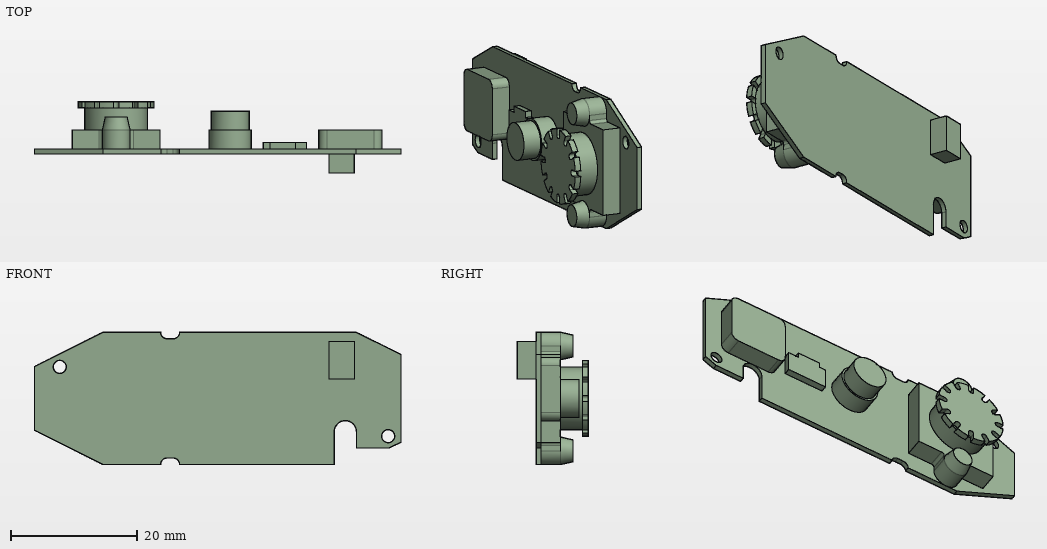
import cadquery as cq


BOARD_LENGTH = 58.0
BOARD_HEIGHT = 21.0
BOARD_THICKNESS = 0.8
LEFT_CHAMFER = (10.85, 5.45)
TOP_RIGHT_CHAMFER = (7.15, 3.55)
LOW_RIGHT_CHAMFER = (2.0, 0.9)
LOW_RIGHT_STEP = 2.6

SLOT_X = 20.2
SLOT_WIDTH = 3.5
SLOT_TOP = -3.55

NOTCH_X = -7.55
NOTCH_WIDTH = 2.95
NOTCH_DEPTH = 1.05
NOTCH_RADIUS = 1.0

HOLE_DIAMETER = 2.05
HOLE_CENTERS = [(-25.0, 5.0), (26.95, -6.0)]

CAMERA_X = -16.05
HOLDER_SIDE = 13.9
BASE_HEIGHT = 3.0
BOSS_RADIUS = 2.2
BOSS_FILLET = 0.5
BOSS_Z = BOARD_HEIGHT / 2 - BOSS_RADIUS
PEG_TOP_RADIUS = 1.75
PEG_HEIGHT = 2.05

BARREL_RADIUS = 5.0
BARREL_HEIGHT = 3.5
RIM_RADIUS = 6.05
RIM_THICKNESS = 1.0
RIM_NOTCH_COUNT = 12
RIM_NOTCH_WIDTH = 0.9

BUTTON_X = 2.0
BUTTON_BASE_RADIUS = 3.35
BUTTON_CAP_RADIUS = 3.0
BUTTON_CAP_HEIGHT = 2.95

CHIP_X = 10.6
CHIP_LENGTH = 6.9
CHIP_WIDTH = 4.0
CHIP_STEP_X = 10.25
CHIP_STEP_LENGTH = 4.0
CHIP_STEP_WIDTH = 1.0
CHIP_HEIGHT = 1.05

SOCKET_X = 21.0
SOCKET_SIDE = 10.05
SOCKET_CORNER_RADIUS = 1.3
SOCKET_Z = SLOT_TOP + SOCKET_SIDE / 2

CONNECTOR_X = 19.6
CONNECTOR_Z = 6.05
CONNECTOR_WIDTH = 4.0
CONNECTOR_HEIGHT = 6.0
CONNECTOR_DEPTH = 3.0


def plane_at(y):
    """XZ plane at depth y whose extrusions run toward +Y; local coordinates are (x, z)."""
    return cq.Workplane(cq.Plane((0, y, 0), xDir=(1, 0, 0), normal=(0, -1, 0)))


def raised(sketch, height):
    """Extrude a sketch on an XZ plane toward +Y."""
    return sketch.extrude(-height)


def make_plate():
    right = BOARD_LENGTH / 2
    left = -right
    top = BOARD_HEIGHT / 2
    bottom = -top
    slot_left = SLOT_X - SLOT_WIDTH / 2
    slot_right = SLOT_X + SLOT_WIDTH / 2
    slot_spring = SLOT_TOP - SLOT_WIDTH / 2
    step_z = bottom + LOW_RIGHT_STEP
    outline = (
        plane_at(-BOARD_THICKNESS)
        .moveTo(left, bottom + LEFT_CHAMFER[1])
        .lineTo(left + LEFT_CHAMFER[0], bottom)
        .lineTo(slot_left, bottom)
        .lineTo(slot_left, slot_spring)
        .threePointArc((SLOT_X, SLOT_TOP), (slot_right, slot_spring))
        .lineTo(slot_right, step_z)
        .lineTo(right - LOW_RIGHT_CHAMFER[0], step_z)
        .lineTo(right, step_z + LOW_RIGHT_CHAMFER[1])
        .lineTo(right, top - TOP_RIGHT_CHAMFER[1])
        .lineTo(right - TOP_RIGHT_CHAMFER[0], top)
        .lineTo(left + LEFT_CHAMFER[0], top)
        .lineTo(left, top - LEFT_CHAMFER[1])
        .close()
    )
    plate = raised(outline, BOARD_THICKNESS)
    holes = raised(
        plane_at(-BOARD_THICKNESS).pushPoints(HOLE_CENTERS).circle(HOLE_DIAMETER / 2), BOARD_THICKNESS
    )
    plate = plate.cut(holes)
    for edge_z in (top, bottom):
        notch = raised(
            plane_at(-BOARD_THICKNESS).center(NOTCH_X, edge_z).rect(NOTCH_WIDTH, 2 * NOTCH_DEPTH),
            BOARD_THICKNESS,
        )
        plate = plate.cut(notch.edges("|Y").fillet(NOTCH_RADIUS))
    return plate


def make_holder():
    """Square block with a round-ended screw boss and a tapered peg above and below."""
    block = raised(plane_at(0).center(CAMERA_X, 0).rect(HOLDER_SIDE, HOLDER_SIDE), BASE_HEIGHT)
    web = raised(plane_at(0).center(CAMERA_X, 0).rect(2 * BOSS_RADIUS, 2 * BOSS_Z), BASE_HEIGHT)
    holder = block.union(web)
    corner_x = BOSS_RADIUS + BOSS_FILLET
    corner_z = HOLDER_SIDE / 2 + BOSS_FILLET
    inner_corners = cq.selectors.BoxSelector(
        (CAMERA_X - corner_x, 0, -corner_z), (CAMERA_X + corner_x, BASE_HEIGHT, corner_z)
    )
    holder = holder.edges("|Y").edges(inner_corners).fillet(BOSS_FILLET)
    for boss_z in (BOSS_Z, -BOSS_Z):
        boss = raised(plane_at(0).center(CAMERA_X, boss_z).circle(BOSS_RADIUS), BASE_HEIGHT)
        peg = cq.Workplane(
            cq.Solid.makeCone(
                BOSS_RADIUS,
                PEG_TOP_RADIUS,
                PEG_HEIGHT,
                pnt=cq.Vector(CAMERA_X, BASE_HEIGHT, boss_z),
                dir=cq.Vector(0, 1, 0),
            )
        )
        holder = holder.union(boss).union(peg)
    return holder


def make_button():
    base = raised(plane_at(0).center(BUTTON_X, 0).circle(BUTTON_BASE_RADIUS), BASE_HEIGHT)
    cap = raised(plane_at(BASE_HEIGHT).center(BUTTON_X, 0).circle(BUTTON_CAP_RADIUS), BUTTON_CAP_HEIGHT)
    return base.union(cap)


def make_chip():
    step_z = (CHIP_WIDTH + CHIP_STEP_WIDTH) / 2
    body = raised(plane_at(0).center(CHIP_X, 0).rect(CHIP_LENGTH, CHIP_WIDTH), CHIP_HEIGHT)
    step = raised(
        plane_at(0).center(CHIP_STEP_X, step_z).rect(CHIP_STEP_LENGTH, CHIP_STEP_WIDTH), CHIP_HEIGHT
    )
    return body.union(step)


def make_socket():
    block = raised(plane_at(0).center(SOCKET_X, SOCKET_Z).rect(SOCKET_SIDE, SOCKET_SIDE), BASE_HEIGHT)
    return block.edges("|Y").fillet(SOCKET_CORNER_RADIUS)


def make_connector():
    sketch = plane_at(-BOARD_THICKNESS - CONNECTOR_DEPTH).center(CONNECTOR_X, CONNECTOR_Z)
    return raised(sketch.rect(CONNECTOR_WIDTH, CONNECTOR_HEIGHT), CONNECTOR_DEPTH)


def make_board():
    board = make_plate()
    for component in (make_button(), make_chip(), make_socket(), make_connector()):
        board = board.union(component)
    return board


def make_lens():
    """Barrel with a wider rim, notched all round by slots with round ends centred on the barrel radius."""
    slot_length = 2 * (RIM_RADIUS - BARREL_RADIUS) + RIM_NOTCH_WIDTH
    rim_y = BASE_HEIGHT + BARREL_HEIGHT
    barrel = raised(plane_at(BASE_HEIGHT).center(CAMERA_X, 0).circle(BARREL_RADIUS), BARREL_HEIGHT)
    rim = raised(plane_at(rim_y).center(CAMERA_X, 0).circle(RIM_RADIUS), RIM_THICKNESS)
    notches = raised(
        plane_at(rim_y)
        .center(CAMERA_X, 0)
        .polarArray(RIM_RADIUS, 0, 360, RIM_NOTCH_COUNT)
        .slot2D(slot_length, RIM_NOTCH_WIDTH),
        RIM_THICKNESS,
    )
    return barrel.union(rim.cut(notches))


def make_camera():
    return make_holder().union(make_lens())


board = make_board()
camera = make_camera()
result = cq.Compound.makeCompound([board.val(), camera.val()])